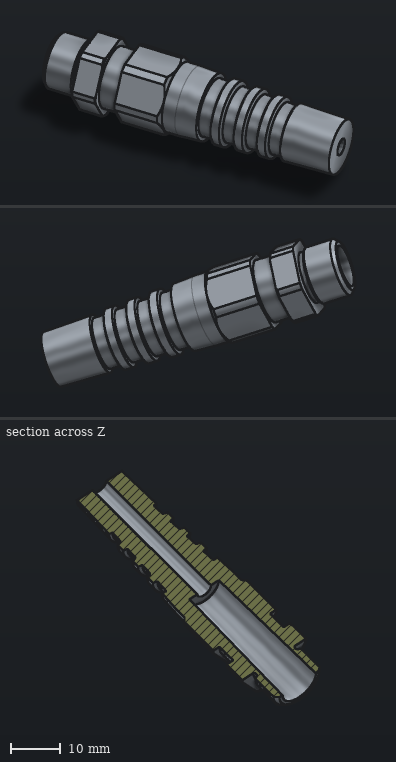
import cadquery as cq
import math

total_length = 64.0

spigot_diameter = 12.0
spigot_chamfer = 0.85
relief_start = 6.6
relief_arc_start = 6.95
relief_arc_start_radius = spigot_diameter / 2 - (relief_arc_start - relief_start)
relief_bottom = 7.4
relief_diameter = 10.3
relief_end_radius = 5.4

body_nut_start = 8.0
across_flats = 15.0
body_nut_corner_diameter = 16.59
body_nut_end = 13.15
body_nut_edge_break = 0.2
collar_diameter = 13.2
dome_nut_start = 17.4
dome_nut_corner_diameter = 16.4
dome_nut_end = 27.6

sleeve_diameter = 14.9
dome_nut_chamfer = (dome_nut_corner_diameter - sleeve_diameter) / 2
sleeve_taper_start = 30.5
sleeve_end = 35.1
sleeve_end_diameter = 14.4

core_start_diameter = 12.35
core_taper = 0.085
rib_pitch = 5.03
rib_count = 3
rib_width = 1.85
first_rib_start = 38.2
first_rib_diameter = 14.0
rib_step = 0.47
front_flank_length = 0.2
rear_flank_length = 0.35

tail_start = first_rib_start + rib_count * rib_pitch
tail_diameter = 12.3
tail_end_diameter = 11.7

bore_diameter = 8.6
bore_floor_diameter = 7.5
bore_depth = 30.4
cable_hole_diameter = 3.5


def revolve_about_x(points):
    """Revolve a closed (x, radius) outline about the X axis."""
    return cq.Workplane("XY").polyline(points).close().revolve(360, (0, 0, 0), (1, 0, 0))


def frustum(start, end, start_diameter, end_diameter):
    return revolve_about_x([
        (start, 0),
        (start, start_diameter / 2),
        (end, end_diameter / 2),
        (end, 0),
    ])


def hexagon(start, end, corner_diameter, end_chamfer):
    """Hexagonal nut, flats facing +Z and -Z, corners turned and chamfered at the far end."""
    prism = (
        cq.Workplane("YZ", origin=(start, 0, 0))
        .polygon(6, across_flats / math.cos(math.pi / 6))
        .extrude(end - start)
    )
    corner_radius = corner_diameter / 2
    turned = revolve_about_x([
        (start, 0),
        (start, corner_radius),
        (end - end_chamfer, corner_radius),
        (end, corner_radius - end_chamfer),
        (end, 0),
    ])
    return prism.intersect(turned)


def spigot():
    """Threaded end with a chamfered mouth and a rounded relief groove against the nut."""
    radius = spigot_diameter / 2
    return (
        cq.Workplane("XY")
        .lineTo(0, radius - spigot_chamfer)
        .lineTo(spigot_chamfer, radius)
        .lineTo(relief_start, radius)
        .lineTo(relief_arc_start, relief_arc_start_radius)
        .threePointArc((relief_bottom, relief_diameter / 2), (body_nut_start, relief_end_radius))
        .lineTo(body_nut_start, 0)
        .close()
        .revolve(360, (0, 0, 0), (1, 0, 0))
    )


def sleeve():
    straight = frustum(dome_nut_end, sleeve_taper_start, sleeve_diameter, sleeve_diameter)
    taper = frustum(sleeve_taper_start, sleeve_end, sleeve_diameter, sleeve_end_diameter)
    return straight.union(taper)


def core_diameter(x):
    return core_start_diameter - core_taper * (x - sleeve_end)


def core():
    return frustum(sleeve_end, tail_start, core_start_diameter, core_diameter(tail_start))


def rib(index):
    """Rib with a steep front flank and a gentler rear flank, both running down to the core."""
    top_start = first_rib_start + index * rib_pitch
    top_end = top_start + rib_width
    foot_start = top_start - front_flank_length
    foot_end = top_end + rear_flank_length
    top_radius = (first_rib_diameter - index * rib_step) / 2
    return revolve_about_x([
        (foot_start, 0),
        (foot_start, core_diameter(foot_start) / 2),
        (top_start, top_radius),
        (top_end, top_radius),
        (foot_end, core_diameter(foot_end) / 2),
        (foot_end, 0),
    ])


def tail():
    lip_start = tail_start - front_flank_length
    lip = frustum(lip_start, tail_start, core_diameter(lip_start), tail_diameter)
    return lip.union(frustum(tail_start, total_length, tail_diameter, tail_end_diameter))


def cable_passage():
    bore = frustum(0, bore_depth, bore_diameter, bore_floor_diameter)
    hole = frustum(0, total_length, cable_hole_diameter, cable_hole_diameter)
    return bore.union(hole)


result = (
    spigot()
    .union(hexagon(body_nut_start, body_nut_end, body_nut_corner_diameter, body_nut_edge_break))
    .union(frustum(body_nut_end, dome_nut_start, collar_diameter, collar_diameter))
    .union(hexagon(dome_nut_start, dome_nut_end, dome_nut_corner_diameter, dome_nut_chamfer))
    .union(sleeve())
    .union(core())
    .union(tail())
)
for number in range(rib_count):
    result = result.union(rib(number))
result = result.cut(cable_passage())